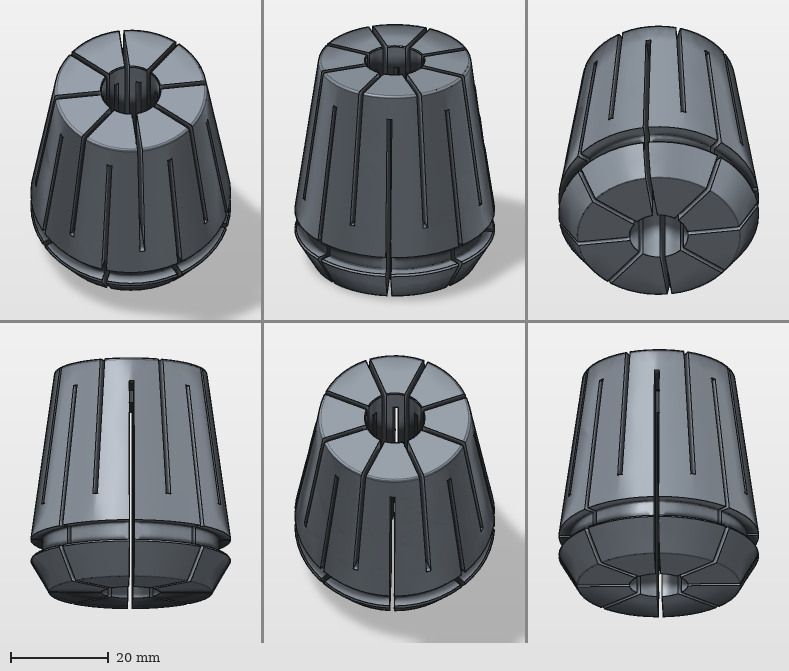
import cadquery as cq
import math

total_length = 46.0
max_diameter = 41.0
bore_diameter = 12.0
bore_edge_chamfer = 0.2

taper_start_z = 11.05
taper_half_angle = 8.0
taper_end_fillet = 0.5

groove_bottom_z = 7.0
groove_diameter = 36.2
groove_corner_fillet = 0.15

nose_half_angle = 30.0
nose_end_radius = 16.7
nose_end_fillet = 0.15
nose_rim_inset = 0.3

slots_per_end = 8
slot_width = 1.0
nose_slot_end_z = 41.0
tail_slot_end_z = 17.0

max_radius = max_diameter / 2
bore_radius = bore_diameter / 2
groove_radius = groove_diameter / 2
taper_length = total_length - taper_start_z
taper_end_radius = max_radius - taper_length * math.tan(math.radians(taper_half_angle))
nose_height = (max_radius - nose_end_radius) / math.tan(math.radians(nose_half_angle))
rim_radius = max_radius - nose_rim_inset
slot_pitch = 360 / slots_per_end


def groove_corners(body):
    """Select the two circular edges at the root of the extraction groove."""
    middle_z = (groove_bottom_z + taper_start_z) / 2
    root_face = body.faces(cq.selectors.NearestToPointSelector((groove_radius, 0, middle_z)))
    return root_face.edges("%CIRCLE")


def collet_body():
    """Revolved body: nose cone with bevelled rim, extraction groove and long taper."""
    profile = (
        cq.Workplane("XZ")
        .lineTo(nose_end_radius, 0)
        .lineTo(max_radius, nose_height)
        .lineTo(rim_radius, groove_bottom_z)
        .lineTo(groove_radius, groove_bottom_z)
        .lineTo(groove_radius, taper_start_z)
        .lineTo(max_radius, taper_start_z)
        .lineTo(taper_end_radius, total_length)
        .lineTo(0, total_length)
        .close()
    )
    body = profile.revolve(360, (0, 0, 0), (0, 1, 0))
    body = groove_corners(body).fillet(groove_corner_fillet)
    body = body.faces("<Z").edges().fillet(nose_end_fillet)
    return body.faces(">Z").edges().fillet(taper_end_fillet)


def bore():
    """Through bore that widens in a fine chamfer at the tail face."""
    mouth_radius = bore_radius + bore_edge_chamfer
    profile = (
        cq.Workplane("XZ")
        .lineTo(bore_radius, 0)
        .lineTo(bore_radius, total_length - bore_edge_chamfer)
        .lineTo(mouth_radius, total_length)
        .lineTo(0, total_length)
        .close()
    )
    return profile.revolve(360, (0, 0, 0), (0, 1, 0))


def radial_slots(bottom_z, top_z, first_angle):
    """Ring of thin blades running from the axis to beyond the outside of the body."""
    blade = cq.Workplane("XY", origin=(max_radius, 0, bottom_z)).rect(max_diameter, slot_width)
    blade = blade.extrude(top_z - bottom_z)
    slots = cq.Workplane("XY")
    for index in range(slots_per_end):
        angle = first_angle + index * slot_pitch
        slots = slots.add(blade.rotate((0, 0, 0), (0, 0, 1), angle))
    return slots.combine()


collet = collet_body().cut(bore())
collet = collet.cut(radial_slots(0, nose_slot_end_z, 0))
result = collet.cut(radial_slots(tail_slot_end_z, total_length, slot_pitch / 2))